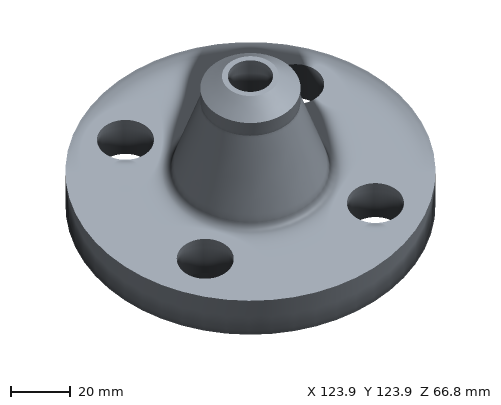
import cadquery as cq
import math

flange_diameter = 123.9
flange_thickness = 15.9

face_diameter = 69.9
face_height = 6.3

overall_height = 66.8
hub_base_diameter = 54.5
neck_diameter = 33.6
neck_length = 6.0
hub_fillet = 3.0

bevel_angle = 37.5
land_diameter = 19.1
bore_diameter = 15.1

bolt_hole_diameter = 19.1
bolt_circle_diameter = 89.0
bolt_count = 4

flange_top = face_height + flange_thickness
bevel_height = (neck_diameter - land_diameter) / 2 * math.tan(math.radians(bevel_angle))
neck_top = overall_height - bevel_height
neck_bottom = neck_top - neck_length


def make_flange():
    """Disc with the raised sealing face below it."""
    face = cq.Workplane("XY").circle(face_diameter / 2).extrude(face_height)
    disc = (
        cq.Workplane("XY")
        .workplane(offset=face_height)
        .circle(flange_diameter / 2)
        .extrude(flange_thickness)
    )
    return face.union(disc)


def make_hub():
    """Revolved tapered hub ending in a short neck and a weld bevel."""
    return (
        cq.Workplane("XZ")
        .moveTo(0, flange_top)
        .lineTo(hub_base_diameter / 2, flange_top)
        .lineTo(neck_diameter / 2, neck_bottom)
        .lineTo(neck_diameter / 2, neck_top)
        .lineTo(land_diameter / 2, overall_height)
        .lineTo(0, overall_height)
        .close()
        .revolve(360, (0, 0, 0), (0, 1, 0))
    )


def fillet_hub_root(body):
    """Round the corner where the hub meets the disc."""
    margin = 1.2
    reach = hub_base_diameter / 2 + margin
    root = cq.selectors.BoxSelector(
        (-reach, -reach, flange_top - margin),
        (reach, reach, flange_top + margin),
        boundingbox=True,
    )
    return body.edges(root).fillet(hub_fillet)


def cut_holes(body):
    """Cut the central bore, and the bolt holes that just touch the edge of the sealing face."""
    bore = cq.Workplane("XY").circle(bore_diameter / 2).extrude(overall_height)
    bolt_holes = (
        cq.Workplane("XY")
        .workplane(offset=face_height)
        .polarArray(bolt_circle_diameter / 2, 0, 360, bolt_count)
        .circle(bolt_hole_diameter / 2)
        .extrude(flange_thickness)
    )
    return body.cut(bore).cut(bolt_holes)


result = cut_holes(fillet_hub_root(make_flange().union(make_hub())))